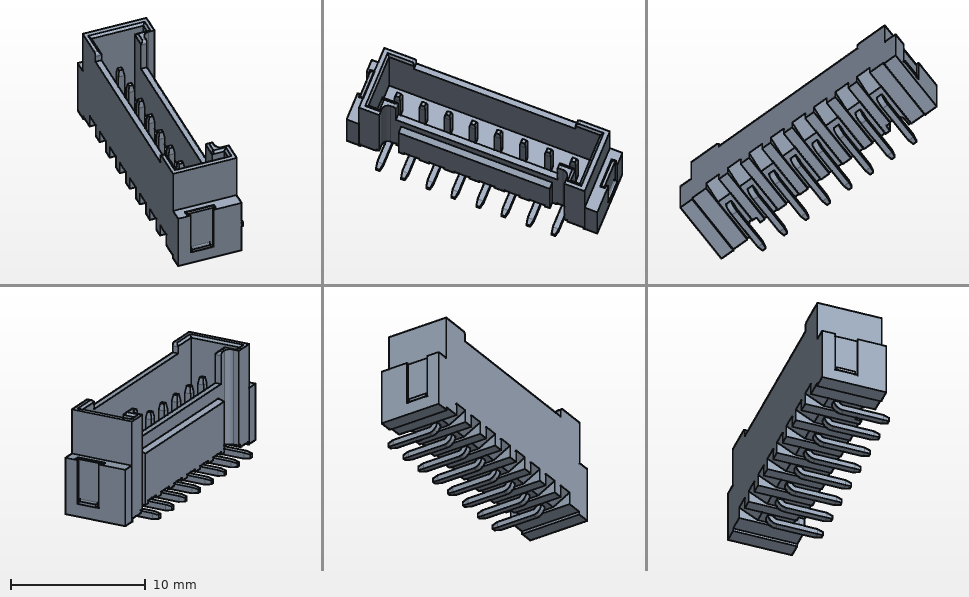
import cadquery as cq
import math

overall_width = 20.05
tab_overhang = 0.03
housing_width = overall_width - 2 * tab_overhang
housing_height = 8.0
upper_width = 18.0
shoulder_height = 4.5
shoulder_depth = 5.08
foot_width = 1.1
foot_height = 0.25

ear_depth = 5.1
ear_inner_x = 7.38
ear_fillet = 0.5
middle_depth = 4.11

cavity_half_width = 8.43
cavity_front_y = 0.48
cavity_back_y = 3.63
ear_pocket_back_y = 4.61
ear_pocket_inner_x = 7.7
cavity_floor_z = 1.8
lead_in_size = 0.19

notch_half_width = 6.44
front_notch_depth = 0.76
back_notch_depth = 2.5
notch_corner_radius = 0.25

rib_width = 12.05
rib_depth = 0.48
rib_top_z = 4.5
rib_slope_height = 0.16

pin_count = 8
pin_row_length = 14.0
pin_pitch = pin_row_length / (pin_count - 1)
pin_size = 0.48
pin_y = 2.2
pin_top_z = 5.5
pin_tip_length = 0.5
pin_tip_size = 0.3
lead_bottom_z = -0.25
lead_end_y = 6.35
bend_inner_radius = 0.25
slot_width = 1.2
slot_front_height = 1.25
slot_back_height = 0.46
slot_slope_length = 1.46

tab_thickness = 0.25
tab_clearance = 0.07
tab_pocket_inset = 0.18
tab_pocket_length = 2.33
tab_pocket_y = 1.93
tab_bottom_z = 1.02
tab_window_length = 1.8
tab_foot_length = 1.48
tab_foot_y = 1.87
tab_bend_radius = 0.08


def block(x_range, y_range, z_range):
    """Axis-aligned box between the given limits."""
    (x0, x1), (y0, y1), (z0, z1) = x_range, y_range, z_range
    return cq.Workplane("XY").box(x1 - x0, y1 - y0, z1 - z0, centered=False).translate((x0, y0, z0))


def both_ends(left):
    """The left-hand shape together with its mirror image on the right."""
    return left.union(left.mirror("YZ"))


def make_shell():
    """Shoulder block plus the upper shell with its two rear ears."""
    half_base = housing_width / 2
    half_upper = upper_width / 2
    base = block((-half_base, half_base), (0, shoulder_depth), (0, shoulder_height))
    shell = block((-half_upper, half_upper), (0, ear_depth), (0, housing_height))
    rear_gap = (
        block((-ear_inner_x, ear_inner_x), (middle_depth, 2 * ear_depth), (0, housing_height))
        .faces("<Y")
        .edges("|Z")
        .fillet(ear_fillet)
    )
    return base.union(shell).cut(rear_gap)


def cavity_outline():
    """T-shaped cavity: a rectangle with a pocket reaching back into each ear."""
    return cq.Workplane("XY", origin=(0, 0, housing_height)).polyline([
        (-cavity_half_width, cavity_front_y),
        (cavity_half_width, cavity_front_y),
        (cavity_half_width, ear_pocket_back_y),
        (ear_pocket_inner_x, ear_pocket_back_y),
        (ear_pocket_inner_x, cavity_back_y),
        (-ear_pocket_inner_x, cavity_back_y),
        (-ear_pocket_inner_x, ear_pocket_back_y),
        (-cavity_half_width, ear_pocket_back_y),
    ]).close()


def make_lead_in():
    """45-degree chamfer around the cavity mouth."""
    return cavity_outline().offset2D(lead_in_size, "intersection").extrude(-lead_in_size, taper=45)


def make_notch(y_range, depth):
    """Lowered wall stretch whose upper corners are rounded outwards."""
    bottom = housing_height - depth
    flare = notch_half_width + notch_corner_radius
    round_start = housing_height - notch_corner_radius
    profile = (
        cq.Workplane("XZ", origin=(0, y_range[1], 0))
        .moveTo(-notch_half_width, bottom)
        .lineTo(notch_half_width, bottom)
        .lineTo(notch_half_width, round_start)
        .radiusArc((flare, housing_height), notch_corner_radius)
        .lineTo(-flare, housing_height)
        .radiusArc((-notch_half_width, round_start), notch_corner_radius)
        .close()
    )
    return profile.extrude(y_range[1] - y_range[0])


def make_rib():
    """Latch rib along the back wall, with a sloped top."""
    back = middle_depth + rib_depth
    return (
        cq.Workplane("YZ", origin=(-rib_width / 2, 0, 0))
        .polyline([
            (middle_depth - rib_depth / 2, foot_height),
            (back, foot_height),
            (back, rib_top_z - rib_slope_height),
            (middle_depth, rib_top_z),
            (middle_depth - rib_depth / 2, rib_top_z),
        ])
        .close()
        .extrude(rib_width)
    )


def make_pin_slot(x):
    """Slot under one pin; its ceiling slopes down from the front face, then runs level to the back."""
    return (
        cq.Workplane("YZ", origin=(x - slot_width / 2, 0, 0))
        .polyline([
            (0, 0),
            (0, slot_front_height),
            (slot_slope_length, slot_back_height),
            (ear_depth, slot_back_height),
            (ear_depth, 0),
        ])
        .close()
        .extrude(slot_width)
    )


def make_pin(x):
    """Square pin: upright post, bend, and a lead running out at the back, tapered at both ends."""
    bend_outer_radius = bend_inner_radius + pin_size
    front = pin_y - pin_size / 2
    back = pin_y + pin_size / 2
    lead_top = lead_bottom_z + pin_size
    lead_shoulder = lead_end_y - pin_tip_length
    post_shoulder = pin_top_z - pin_tip_length
    bar = (
        cq.Workplane("YZ", origin=(x - pin_size / 2, 0, 0))
        .moveTo(front, post_shoulder)
        .lineTo(front, lead_bottom_z + bend_outer_radius)
        .radiusArc((front + bend_outer_radius, lead_bottom_z), -bend_outer_radius)
        .lineTo(lead_shoulder, lead_bottom_z)
        .lineTo(lead_shoulder, lead_top)
        .lineTo(back + bend_inner_radius, lead_top)
        .radiusArc((back, lead_top + bend_inner_radius), bend_inner_radius)
        .lineTo(back, post_shoulder)
        .close()
        .extrude(pin_size)
    )
    tip_taper = math.degrees(math.atan2((pin_size - pin_tip_size) / 2, pin_tip_length))
    post_tip = (
        cq.Workplane("XY", origin=(x, pin_y, post_shoulder))
        .rect(pin_size, pin_size)
        .extrude(pin_tip_length, taper=tip_taper)
    )
    lead_tip = (
        cq.Workplane("XZ", origin=(x, lead_shoulder, lead_bottom_z + pin_size / 2))
        .rect(pin_size, pin_size)
        .extrude(-pin_tip_length, taper=tip_taper)
    )
    return bar.union(post_tip).union(lead_tip)


def centred(middle, length):
    """Limits of a stretch of the given length about its middle."""
    return (middle - length / 2, middle + length / 2)


def make_tab_pocket():
    """Pocket for the left solder tab, opened to the end face by a narrower window."""
    face_x = -housing_width / 2
    pocket_x = face_x + tab_pocket_inset
    pocket_end_x = pocket_x + tab_thickness + 2 * tab_clearance
    z_range = (tab_bottom_z, shoulder_height)
    pocket = block((pocket_x, pocket_end_x), centred(tab_pocket_y, tab_pocket_length), z_range)
    window = block((face_x, pocket_x), centred(tab_pocket_y, tab_window_length), z_range)
    return pocket.union(window)


def make_tab():
    """Left solder tab: an upright plate bent outwards into a foot."""
    plate_x = -housing_width / 2 + tab_pocket_inset + tab_clearance
    plate_length = tab_pocket_length - 2 * tab_clearance
    plate = block(
        (plate_x, plate_x + tab_thickness),
        centred(tab_pocket_y, plate_length),
        (tab_bottom_z, shoulder_height),
    )
    foot_top = tab_bottom_z + tab_thickness
    foot_y0, foot_y1 = centred(tab_foot_y, tab_foot_length)
    foot = (
        cq.Workplane("XZ", origin=(0, foot_y1, 0))
        .moveTo(-overall_width / 2, tab_bottom_z)
        .lineTo(plate_x, tab_bottom_z)
        .lineTo(plate_x, foot_top + tab_bend_radius)
        .radiusArc((plate_x - tab_bend_radius, foot_top), tab_bend_radius)
        .lineTo(-overall_width / 2, foot_top)
        .close()
        .extrude(foot_y1 - foot_y0)
    )
    return plate.union(foot)


cavity = cavity_outline().extrude(cavity_floor_z - housing_height)
wall_split_y = (cavity_front_y + cavity_back_y) / 2
foot_gap_half_width = housing_width / 2 - foot_width
foot_gap = block((-foot_gap_half_width, foot_gap_half_width), (0, ear_depth), (0, foot_height))

result = make_shell().union(make_rib()).cut(cavity).cut(make_lead_in()).cut(foot_gap)
result = result.cut(make_notch((0, wall_split_y), front_notch_depth))
result = result.cut(make_notch((wall_split_y, ear_depth), back_notch_depth))
result = result.cut(both_ends(make_tab_pocket())).union(both_ends(make_tab()))

pin_positions = [(i - (pin_count - 1) / 2) * pin_pitch for i in range(pin_count)]
for pin_x in pin_positions:
    result = result.cut(make_pin_slot(pin_x)).union(make_pin(pin_x))